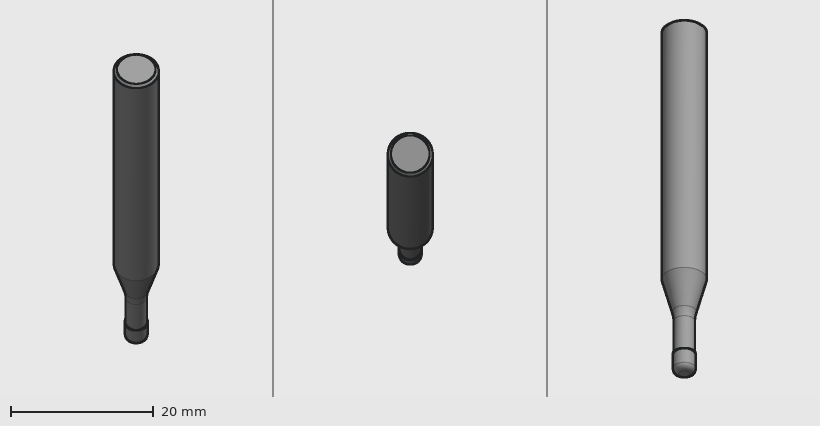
import cadquery as cq
import math

shank_radius = 6.35 / 2
neck_radius = 3.05 / 2
head_radius = 3.25 / 2

total_length = 57.15
head_length = 3.25
neck_top = 8.7
shank_bottom = 15.65

corner_radius = 0.85
chamfer_width = 0.45
chamfer_height = 0.4
taper_angle = math.radians(15)

taper_radial_rise = shank_radius - neck_radius
taper_corner_height = shank_bottom - taper_radial_rise / math.tan(taper_angle)
blend_radius = (taper_corner_height - neck_top) / math.tan(taper_angle / 2)


def blend_point(angle):
    """Point (radius, height) on the blend arc, turned by angle from the neck."""
    return (
        neck_radius + blend_radius * (1 - math.cos(angle)),
        neck_top + blend_radius * math.sin(angle),
    )


def make_cutting_head():
    """Short cylinder with a rounded corner at the tip."""
    return (
        cq.Workplane("XY")
        .circle(head_radius)
        .extrude(head_length)
        .faces("<Z")
        .edges()
        .fillet(corner_radius)
    )


def make_shank():
    """Turned neck, blend, taper and cylindrical shank with a chamfered end."""
    return (
        cq.Workplane("XZ")
        .moveTo(0, head_length)
        .lineTo(neck_radius, head_length)
        .lineTo(neck_radius, neck_top)
        .threePointArc(blend_point(taper_angle / 2), blend_point(taper_angle))
        .lineTo(shank_radius, shank_bottom)
        .lineTo(shank_radius, total_length - chamfer_height)
        .lineTo(shank_radius - chamfer_width, total_length)
        .lineTo(0, total_length)
        .close()
        .revolve(360, (0, 0), (0, 1))
    )


cutting_head = make_cutting_head()
shank = make_shank()

result = cq.Compound.makeCompound([cutting_head.val(), shank.val()])